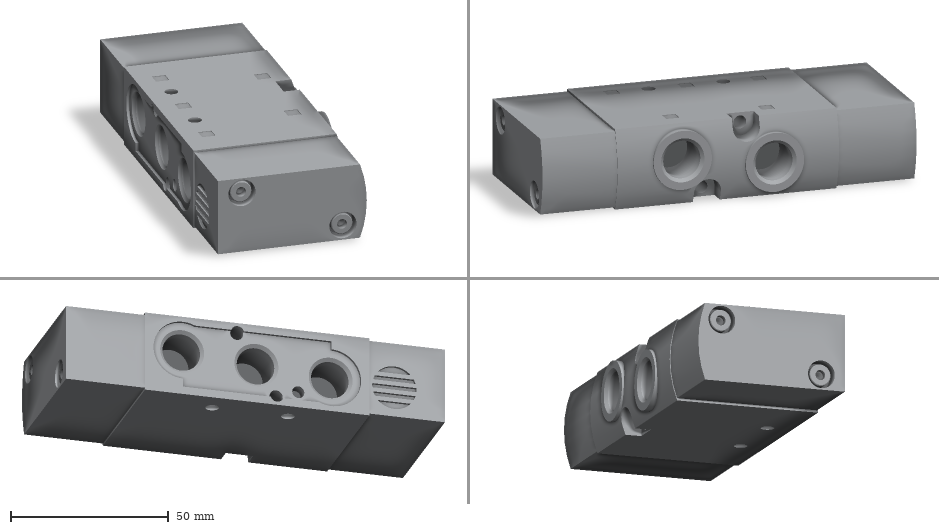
import cadquery as cq
import math


HOUSING_LENGTH = 74.0
HOUSING_HEIGHT = 26.5
HOUSING_CROWN_Y = 49.9
HOUSING_SHOULDER_Y = 47.4
TOP_Z = HOUSING_HEIGHT / 2

PORT_DIAMETER = 12.4
PORT_MOUTH_DIAMETER = 14.5
PORT_CHAMFER = (PORT_MOUTH_DIAMETER - PORT_DIAMETER) / 2
PORT_DEPTH = 14.0
PORT_STAGGER = 1.8
FRONT_PORT_SPACING = 24.5
FRONT_PORTS = [
    (-FRONT_PORT_SPACING, PORT_STAGGER),
    (0.0, 0.0),
    (FRONT_PORT_SPACING, -PORT_STAGGER),
]
BACK_PORT_OFFSET = 15.4
BACK_PORTS = [
    (-BACK_PORT_OFFSET, -PORT_STAGGER),
    (BACK_PORT_OFFSET, PORT_STAGGER),
]
BOSS_DIAMETER = 19.5
BOSS_FACE_Y = 50.5
BOSS_ROOT_Y = 40.0

GASKET_DEPTH = 1.0
GASKET_HEIGHT = 21.4
GASKET_END_DIAMETER = BOSS_DIAMETER

CROSS_HOLE_DIAMETER = 4.3
CROSS_HOLE_X = 6.5
CROSS_HOLE_Z = 10.05
CROSS_HOLES = [(-CROSS_HOLE_X, CROSS_HOLE_Z), (CROSS_HOLE_X, -CROSS_HOLE_Z)]
HEAD_NOTCH_WIDTH = 9.0
HEAD_NOTCH_Y = 42.1
VERTICAL_HOLE_DIAMETER = 4.4
VERTICAL_HOLE_SPACING = 25.0
VERTICAL_HOLE_Y = 8.1
LOCATING_HOLE_DIAMETER = 4.0
LOCATING_HOLE_POSITION = (13.8, -7.65)
LOCATING_HOLE_DEPTH = 4.0

LABEL_SIZE = 4.4
LABEL_DEPTH = 0.2
LABELS = [(-24.2, 8.2), (0.0, 8.2), (24.8, 8.2), (-16.2, 39.5), (15.7, 39.5)]

LEFT_CAP_LENGTH = 26.0
RIGHT_CAP_LENGTH = 25.0
CAP_HEIGHT = 25.0
CAP_FRONT_Y = 0.3
CAP_CROWN_Y = 49.65
CAP_SHOULDER_Y = HOUSING_SHOULDER_Y

VENT_DIAMETER = 14.6
VENT_X = 45.3
VENT_Z = -2.6
VENT_DEPTH = 1.0
VENT_SLOT = 1.4
VENT_SLOTS_EACH_SIDE = 1

SCREW_MID_Y = 25.0
SCREW_OFFSET_Y = 16.75
SCREW_OFFSET_Z = 7.5
SCREW_HEAD_DIAMETER = 7.0
SCREW_HEAD_HEIGHT = 4.0
SCREW_HEAD_CHAMFER = 0.25
SCREW_SHANK_DIAMETER = 4.0
SCREW_THREAD_DEPTH = 6.0
SCREW_RECESS_DIAMETER = 9.0
SCREW_HEAD_SINK = 1.0
SOCKET_DIAMETER = 3.24
SOCKET_DEPTH = 2.0
SOCKET_TIP_DIAMETER = 2.5
SOCKET_TIP_SLOPE = 30.0
SOCKET_TIP_DEPTH = SOCKET_TIP_DIAMETER / 2 * math.tan(math.radians(SOCKET_TIP_SLOPE))


def front_cylinder(points, diameter, start_y, end_y):
    """Cylinders along Y, at the given (x, z) points."""
    return (
        cq.Workplane("XZ", origin=(0, start_y, 0))
        .pushPoints(points)
        .circle(diameter / 2)
        .extrude(start_y - end_y)
    )


def end_cylinder(x, y, z, diameter, length):
    """Cylinder along +X from its end centre."""
    return cq.Workplane("YZ", origin=(x, y, z)).circle(diameter / 2).extrude(length)


def arched_bar(x, length, height, front_y, shoulder_y, crown_y):
    """Bar along +X with a flat front and an arched back."""
    half = height / 2
    return (
        cq.Workplane("YZ", origin=(x, 0, 0))
        .moveTo(front_y, -half)
        .lineTo(shoulder_y, -half)
        .threePointArc((crown_y, 0), (shoulder_y, half))
        .lineTo(front_y, half)
        .close()
        .extrude(length)
    )


def port(x, z, face_y, inward):
    """Chamfered blind port along Y; inward is +1 or -1 into the housing."""
    plane = cq.Plane(origin=(x, face_y, z), xDir=(1, 0, 0), normal=(0, inward, 0))
    bore = cq.Workplane(plane).circle(PORT_DIAMETER / 2).extrude(PORT_DEPTH)
    mouth = (
        cq.Workplane(plane)
        .circle(PORT_MOUTH_DIAMETER / 2)
        .workplane(offset=PORT_CHAMFER)
        .circle(PORT_DIAMETER / 2)
        .loft()
    )
    return bore.union(mouth)


def gasket_recess():
    """Shallow recess joining the front ports, round about the outer two."""
    ends = front_cylinder([FRONT_PORTS[0], FRONT_PORTS[-1]], GASKET_END_DIAMETER, 0, GASKET_DEPTH)
    middle = cq.Workplane("XY").box(
        2 * FRONT_PORT_SPACING, GASKET_DEPTH, GASKET_HEIGHT, centered=(True, False, True)
    )
    return ends.union(middle)


def head_notch(x, z):
    """Round-bottomed notch for a bolt head, open to the back and the nearer flat face."""
    outward = math.copysign(1, z)
    notch_length = BOSS_FACE_Y - HEAD_NOTCH_Y
    round_bottom = front_cylinder([(x, z)], HEAD_NOTCH_WIDTH, HEAD_NOTCH_Y, BOSS_FACE_Y)
    opening = cq.Workplane("XY").box(HEAD_NOTCH_WIDTH, notch_length, TOP_Z).translate(
        (x, HEAD_NOTCH_Y + notch_length / 2, z + outward * TOP_Z / 2)
    )
    return round_bottom.union(opening)


def vertical_holes():
    half_spacing = VERTICAL_HOLE_SPACING / 2
    return (
        cq.Workplane("XY", origin=(0, 0, -TOP_Z))
        .pushPoints([(-half_spacing, VERTICAL_HOLE_Y), (half_spacing, VERTICAL_HOLE_Y)])
        .circle(VERTICAL_HOLE_DIAMETER / 2)
        .extrude(HOUSING_HEIGHT)
    )


def label_pads():
    return (
        cq.Workplane("XY", origin=(0, 0, TOP_Z - LABEL_DEPTH))
        .pushPoints(LABELS)
        .rect(LABEL_SIZE, LABEL_SIZE)
        .extrude(LABEL_DEPTH)
    )


def vent_grille():
    """Horizontal slots clipped to a circle, with a round segment at top and bottom."""
    grille = front_cylinder([(VENT_X, VENT_Z)], VENT_DIAMETER, CAP_FRONT_Y, CAP_FRONT_Y + VENT_DEPTH)
    pitch = 2 * VENT_SLOT
    rib = cq.Workplane("XY").box(VENT_DIAMETER, 2 * VENT_DEPTH, VENT_SLOT)
    for row in range(VENT_SLOTS_EACH_SIDE + 1):
        for side in (-1, 1):
            rib_z = VENT_Z + side * (VENT_SLOT + row * pitch)
            grille = grille.cut(rib.translate((VENT_X, CAP_FRONT_Y + VENT_DEPTH / 2, rib_z)))
    return grille


def end_screw(end_x, y, z):
    """Socket-head screw pointing along +X, for a cap whose end face is at end_x."""
    face_x = end_x + SCREW_HEAD_SINK
    seat_x = face_x + SCREW_HEAD_HEIGHT
    tip_x = -HOUSING_LENGTH / 2 + SCREW_THREAD_DEPTH
    head = end_cylinder(face_x, y, z, SCREW_HEAD_DIAMETER, SCREW_HEAD_HEIGHT)
    head = head.faces("<X").chamfer(SCREW_HEAD_CHAMFER)
    shank = end_cylinder(seat_x, y, z, SCREW_SHANK_DIAMETER, tip_x - seat_x)
    socket = (
        cq.Workplane("XY", origin=(face_x, y, z))
        .lineTo(0, SOCKET_DIAMETER / 2)
        .lineTo(SOCKET_DEPTH, SOCKET_DIAMETER / 2)
        .lineTo(SOCKET_DEPTH, SOCKET_TIP_DIAMETER / 2)
        .lineTo(SOCKET_DEPTH + SOCKET_TIP_DEPTH, 0)
        .close()
        .revolve(360, (0, 0, 0), (1, 0, 0))
    )
    return head.union(shank).cut(socket)


def end_screw_hole(end_x, y, z):
    """Recess for the screw head and a shank hole reaching into the housing."""
    seat_depth = SCREW_HEAD_SINK + SCREW_HEAD_HEIGHT
    tip_x = -HOUSING_LENGTH / 2 + SCREW_THREAD_DEPTH
    recess = end_cylinder(end_x, y, z, SCREW_RECESS_DIAMETER, seat_depth)
    shank = end_cylinder(end_x, y, z, SCREW_SHANK_DIAMETER, tip_x - end_x)
    return recess.union(shank)


def at_right_end(shape):
    """Carry a left-end feature to the right end by a half turn about the middle port axis."""
    return shape.rotate((0, 0, 0), (0, 1, 0), 180)


SCREW_POSITIONS = [
    (SCREW_MID_Y - SCREW_OFFSET_Y, -SCREW_OFFSET_Z),
    (SCREW_MID_Y + SCREW_OFFSET_Y, SCREW_OFFSET_Z),
]
LEFT_END_X = -HOUSING_LENGTH / 2 - LEFT_CAP_LENGTH
RIGHT_END_X = HOUSING_LENGTH / 2 + RIGHT_CAP_LENGTH

cap_screws = []
screw_holes = []
for y, z in SCREW_POSITIONS:
    cap_screws.append(end_screw(LEFT_END_X, y, z))
    cap_screws.append(at_right_end(end_screw(-RIGHT_END_X, y, z)))
    screw_holes.append(end_screw_hole(LEFT_END_X, y, z))
    screw_holes.append(at_right_end(end_screw_hole(-RIGHT_END_X, y, z)))

housing = arched_bar(
    -HOUSING_LENGTH / 2, HOUSING_LENGTH, HOUSING_HEIGHT, 0, HOUSING_SHOULDER_Y, HOUSING_CROWN_Y
)
housing = housing.union(front_cylinder(BACK_PORTS, BOSS_DIAMETER, BOSS_ROOT_Y, BOSS_FACE_Y))
housing = housing.cut(gasket_recess())
for x, z in FRONT_PORTS:
    housing = housing.cut(port(x, z, GASKET_DEPTH, 1))
for x, z in BACK_PORTS:
    housing = housing.cut(port(x, z, BOSS_FACE_Y, -1))
housing = housing.cut(front_cylinder(CROSS_HOLES, CROSS_HOLE_DIAMETER, 0, BOSS_FACE_Y))
for x, z in CROSS_HOLES:
    housing = housing.cut(head_notch(x, z))
housing = housing.cut(
    front_cylinder(
        [LOCATING_HOLE_POSITION], LOCATING_HOLE_DIAMETER, 0, GASKET_DEPTH + LOCATING_HOLE_DEPTH
    )
)
housing = housing.cut(vertical_holes())
housing = housing.cut(label_pads())

left_cap = arched_bar(
    LEFT_END_X, LEFT_CAP_LENGTH, CAP_HEIGHT, CAP_FRONT_Y, CAP_SHOULDER_Y, CAP_CROWN_Y
)
right_cap = arched_bar(
    HOUSING_LENGTH / 2, RIGHT_CAP_LENGTH, CAP_HEIGHT, CAP_FRONT_Y, CAP_SHOULDER_Y, CAP_CROWN_Y
)
right_cap = right_cap.cut(vent_grille())

for hole in screw_holes:
    housing = housing.cut(hole)
    left_cap = left_cap.cut(hole)
    right_cap = right_cap.cut(hole)

result = cq.Compound.makeCompound(
    [housing.val(), left_cap.val(), right_cap.val()] + [screw.val() for screw in cap_screws]
)